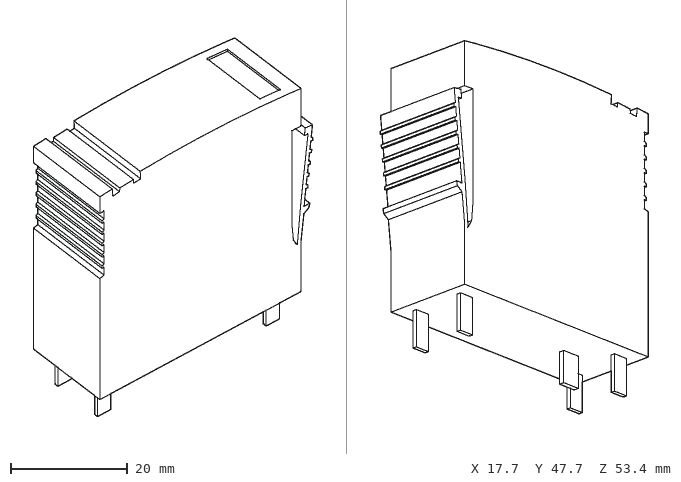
import cadquery as cq
import math


width = 17.7
depth = 45.05
height = 46.5
roof_radius = 213.7
facet_count = 4
facet_pitch = 6.75
label_facet_rear = 42.25

lip_front_top = (0.0, 45.2)
lip_rear_top = (2.8, 45.45)
front_groove_front = (2.95, 43.8)
front_groove_rear = (4.45, 43.95)
strip_front_top = (4.5, 44.8)
strip_rear_top = (7.55, 45.05)
rear_groove_front = (7.6, 44.2)
rear_groove_rear = (9.15, 44.35)
roof_front_y = 9.05

rib_count = 5
rib_pitch = 2.5
rib_height = 0.45
rib_tip = 0.55
rib_root = 0.8

panel_depth = 0.95
panel_top = 41.5
panel_bottom = 27.25
panel_sill = 27.0
first_panel_rib = 39.0

gap_wall_y = 43.0
gap_top = 36.9
gap_bend_z = 15.75
gap_corner = (43.35, 12.35)
gap_tip = (44.2, 10.9)

lever_tilt = math.radians(6.3)
lever_top = (47.6, 35.8)
lever_thickness = 0.85
lever_head_width = 1.65
lever_head_length = 1.6
lever_bend = 16.55
lever_root_z = 11.2
first_lever_rib = 3.45

barb_tip = (47.0, 18.65)
barb_nose = (46.8, 17.8)
barb_foot = (45.7, 17.0)

label_length = 14.1
label_front_y = 37.3
label_rear_y = 41.9
label_depth = 0.5

long_pin = 6.95
short_pin = 6.0
side_pin_x = 5.3
side_pin_size = (0.8, 3.0)
middle_pin_size = (1.0, 3.6)
front_pin_y = 3.65
middle_pin_y = 10.45
back_pin_y = 41.35


def roof_z(y):
    """Height of the roof circle at distance y from the front."""
    offset = y - depth / 2
    return height - roof_radius + math.sqrt(roof_radius**2 - offset**2)


def roof_facets():
    """Corners of the faceted roof from the back edge to the rear groove."""
    edges = [depth, label_facet_rear]
    for i in reversed(range(facet_count + 1)):
        edges.append(roof_front_y + i * facet_pitch)
    return [(y, roof_z(y)) for y in edges]


def lever_point(along, inward):
    """Point measured down the lever from its head and inwards from its outer face."""
    y = lever_top[0] - along * math.sin(lever_tilt) - inward * math.cos(lever_tilt)
    z = lever_top[1] - along * math.cos(lever_tilt) + inward * math.sin(lever_tilt)
    return (y, z)


def rib_outline(underside):
    """Rib section as (distance down, distance outwards), flat below and sloping above."""
    return [
        (underside, 0),
        (underside, rib_height),
        (underside - rib_tip, rib_height),
        (underside - rib_root, 0),
    ]


def panel_ribs():
    """Points of the front panel from its upper end down past the ribs."""
    points = []
    for i in range(rib_count):
        outline = rib_outline(i * rib_pitch)
        for down, out in reversed(outline):
            points.append((panel_depth - out, first_panel_rib - down))
    return points


def lever_ribs():
    """Points of the lever's outer face from the lowest rib up to the highest."""
    points = []
    for i in reversed(range(rib_count)):
        for down, out in rib_outline(first_lever_rib + i * rib_pitch):
            points.append(lever_point(down, -out))
    return points


def barb_root():
    """Point on the lever's outer face level with the top of the barb."""
    along = (lever_top[1] - barb_tip[1]) / math.cos(lever_tilt)
    return lever_point(along, 0)


def side_profile():
    base_and_barb = [
        (0, 0),
        (depth, 0),
        (depth, lever_root_z),
        barb_foot,
        barb_nose,
        barb_tip,
        barb_root(),
    ]
    lever_head = [
        lever_point(0, 0),
        lever_point(0, lever_head_width),
        lever_point(lever_head_length, lever_head_width),
        lever_point(lever_head_length, lever_thickness),
        lever_point(lever_bend, lever_thickness),
    ]
    gap = [
        gap_tip,
        gap_corner,
        (gap_wall_y, gap_bend_z),
        (gap_wall_y, gap_top),
        (depth, gap_top),
    ]
    grooves = [
        rear_groove_rear,
        rear_groove_front,
        strip_rear_top,
        strip_front_top,
        front_groove_rear,
        front_groove_front,
        lip_rear_top,
        lip_front_top,
    ]
    panel_upper = [(0, panel_top), (panel_depth, panel_top)]
    panel_lower = [(panel_depth, panel_bottom), (0, panel_sill)]
    outline = (
        base_and_barb + lever_ribs() + lever_head + gap + roof_facets()
        + grooves + panel_upper + panel_ribs() + panel_lower
    )
    return (
        cq.Workplane("YZ", origin=(-width / 2, 0, 0))
        .polyline(outline)
        .close()
    )


def label_pocket():
    """Cutter for the label pocket, its floor parallel to the roof facet above it."""
    facet_front = roof_front_y + facet_count * facet_pitch
    slope = (roof_z(label_facet_rear) - roof_z(facet_front)) / (label_facet_rear - facet_front)
    front_floor = roof_z(facet_front) + slope * (label_front_y - facet_front) - label_depth
    rear_floor = front_floor + slope * (label_rear_y - label_front_y)
    return (
        cq.Workplane("YZ", origin=(-label_length / 2, 0, 0))
        .moveTo(label_front_y, front_floor)
        .lineTo(label_rear_y, rear_floor)
        .lineTo(label_rear_y, height)
        .lineTo(label_front_y, height)
        .close()
        .extrude(label_length)
    )


def pins(locations, size, length):
    return cq.Workplane("XY").pushPoints(locations).rect(*size).extrude(-length)


side_pin_places = [(x, y) for x in (-side_pin_x, side_pin_x) for y in (front_pin_y, back_pin_y)]
middle_pin_place = [(0, middle_pin_y)]

result = (
    side_profile()
    .extrude(width)
    .cut(label_pocket())
    .union(pins(side_pin_places, side_pin_size, long_pin))
    .union(pins(middle_pin_place, middle_pin_size, short_pin))
)